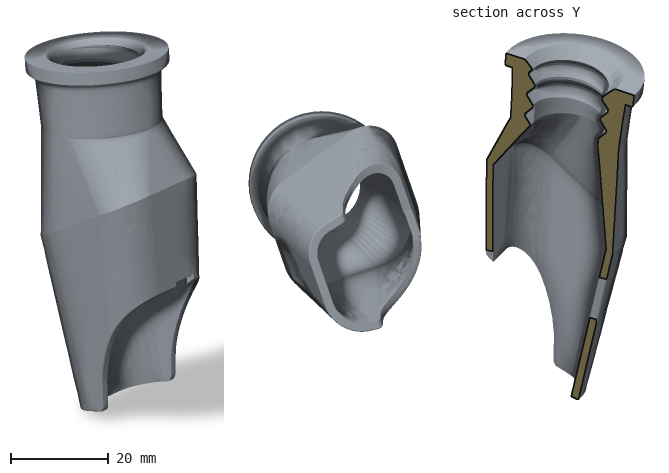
import cadquery as cq
import math

NECK_TILT = 5.0

FLANGE_RADIUS = 14.75
FLANGE_THICKNESS = 3.0
FLANGE_EDGE_CHAMFER = 0.3
NECK_TOP_RADIUS = 13.05
NECK_BASE_RADIUS = 12.4
NECK_BASE_DEPTH = 14.8

BORE_RADIUS = 7.65
MOUTH_RADIUS = 10.35
THREAD_PITCH = 4.95
THREAD_TURNS = 2.5
THREAD_START_DEPTH = 0.7
THREAD_ROOT_RADIUS = 9.2
THREAD_ROOT_WIDTH = 0.6
THREAD_FLANK_WIDTH = 1.85
THREAD_OVERLAP = 0.15

SHOULDER_NARROW = (-9.7, -39.8)
SHOULDER_WIDE = (19.1, -24.95)
FOOT_NARROW = (-1.9, -76.0)
FOOT_WIDE = (19.3, -71.3)
SHOULDER_NARROW_Y = (-9.4, 13.75)
SHOULDER_WIDE_Y = (-16.1, 16.85)
FOOT_NARROW_Y = (-6.4, 16.0)
FOOT_WIDE_Y = (-10.6, 18.55)
FRONT_CORNER_RADIUS = 7.0
BACK_NARROW_RADIUS = 8.5
BACK_WIDE_RADIUS = 10.4
WALL = 1.8

FLAT_SIDE_ARC = 8.0

RELIEF_TOP = (20.1, -46.4)
RELIEF_MIDDLE = (11.2, -56.8)
RELIEF_BOTTOM = (7.9, -67.4)
RELIEF_HEEL = (7.65, -72.8)
RELIEF_TOE = (6.3, -74.3)

WINDOW_Y = (1.15, 7.35)
WINDOW_Z = (-57.8, -46.1)
WINDOW_CORNER_RADIUS = 2.0

RIM_FILLET = 0.2
WINDOW_CHAMFER = 0.2

REACH = 92.7


def tilt_to_neck(shape):
    return shape.rotate((0, 0, 0), (0, 1, 0), -NECK_TILT)


def turned_about_neck(half_section):
    solid = cq.Workplane("XZ").polyline(half_section).close().revolve(360, (0, 0), (0, 1))
    return tilt_to_neck(solid)


def flange_and_neck():
    return turned_about_neck([
        (0, 0),
        (FLANGE_RADIUS, 0),
        (FLANGE_RADIUS, FLANGE_EDGE_CHAMFER - FLANGE_THICKNESS),
        (FLANGE_RADIUS - FLANGE_EDGE_CHAMFER, -FLANGE_THICKNESS),
        (NECK_TOP_RADIUS, -FLANGE_THICKNESS),
        (NECK_BASE_RADIUS, -NECK_BASE_DEPTH),
        (0, -NECK_BASE_DEPTH),
    ])


def bore():
    return turned_about_neck([
        (0, 0),
        (MOUTH_RADIUS, 0),
        (BORE_RADIUS, BORE_RADIUS - MOUTH_RADIUS),
        (BORE_RADIUS, -NECK_BASE_DEPTH),
        (0, -NECK_BASE_DEPTH),
    ])


def thread_groove():
    """Right-handed trapezoidal groove that starts at the -X side and winds down the bore."""
    inner_radius = BORE_RADIUS - THREAD_OVERLAP
    flank_slope = THREAD_FLANK_WIDTH / (THREAD_ROOT_RADIUS - BORE_RADIUS)
    half_root = THREAD_ROOT_WIDTH / 2
    half_mouth = half_root + flank_slope * (THREAD_ROOT_RADIUS - inner_radius)
    profile = [
        (inner_radius, -half_mouth),
        (THREAD_ROOT_RADIUS, -half_root),
        (THREAD_ROOT_RADIUS, half_root),
        (inner_radius, half_mouth),
    ]
    helix = cq.Wire.makeHelix(THREAD_PITCH, THREAD_PITCH * THREAD_TURNS, BORE_RADIUS)
    groove = cq.Workplane("XZ").polyline(profile).close().sweep(cq.Workplane(helix), isFrenet=True)
    groove = groove.rotate((0, 0, 0), (0, 1, 0), 180)
    return tilt_to_neck(groove.translate((0, 0, -THREAD_START_DEPTH)))


def end_outline(narrow, wide, narrow_y, wide_y, inset):
    """Four-cornered outline on a slanted end plane, drawn in by `inset`."""
    run = math.dist(narrow, wide)
    along = (wide[0] - narrow[0], 0, wide[1] - narrow[1])
    normal = (narrow[1] - wide[1], 0, wide[0] - narrow[0])
    plane = cq.Plane(origin=(narrow[0], 0, narrow[1]), xDir=along, normal=normal)
    corners = [(0, narrow_y[0]), (run, wide_y[0]), (run, wide_y[1]), (0, narrow_y[1])]
    outline = cq.Workplane(plane).polyline(corners).close()
    if inset:
        outline = outline.offset2D(-inset)
    return outline.val()


def long_corners(x_range, y_range):
    """Selects the long corner edges, whose centres lie between the shoulder and foot planes."""
    return cq.selectors.BoxSelector(
        (x_range[0], y_range[0], FOOT_WIDE[1]),
        (x_range[1], y_range[1], SHOULDER_NARROW[1]),
    )


def lower_body(inset):
    shoulder = end_outline(SHOULDER_NARROW, SHOULDER_WIDE, SHOULDER_NARROW_Y, SHOULDER_WIDE_Y, inset)
    foot = end_outline(FOOT_NARROW, FOOT_WIDE, FOOT_NARROW_Y, FOOT_WIDE_Y, inset)
    body = cq.Workplane(cq.Solid.makeLoft([foot, shoulder], True))
    corners = [
        ((-REACH, REACH), (-REACH, 0), FRONT_CORNER_RADIUS),
        ((-REACH, 0), (0, REACH), BACK_NARROW_RADIUS),
        ((0, REACH), (0, REACH), BACK_WIDE_RADIUS),
    ]
    for x_range, y_range, radius in corners:
        edges = body.edges("not |Y").edges(long_corners(x_range, y_range))
        body = edges.fillet(radius - inset)
    return body


def circle_arc(radius, start, end):
    points = []
    for angle in (start, (start + end) / 2, end):
        turn = math.radians(angle)
        points.append(cq.Vector(radius * math.cos(turn), radius * math.sin(turn), 0))
    return cq.Edge.makeThreePointArc(*points)


def neck_circle(radius):
    """Circle at the foot of the neck, with short arcs for the flat sides, long for the corners."""
    half_arc = FLAT_SIDE_ARC / 2
    arcs = []
    for side in (0, 90, 180, 270):
        arcs.append(circle_arc(radius, side - half_arc, side + half_arc))
        arcs.append(circle_arc(radius, side + half_arc, side + 90 - half_arc))
    circle = cq.Wire.assembleEdges(arcs)
    return tilt_to_neck(circle.translate(cq.Vector(0, 0, -NECK_BASE_DEPTH)))


def shoulder_transition(body, radius):
    """Loft from the rounded shoulder outline up to the circle at the foot of the neck."""
    shoulder = body.faces(">Z").val().outerWire()
    return cq.Workplane(cq.Solid.makeLoft([shoulder, neck_circle(radius)], True))


def cut_relief(body):
    """Cuts the foot open along the relief and rounds the outer rim of the cut."""
    relief = (
        cq.Workplane("XZ")
        .moveTo(*RELIEF_TOP)
        .threePointArc(RELIEF_MIDDLE, RELIEF_BOTTOM)
        .lineTo(*RELIEF_HEEL)
        .tangentArcPoint(RELIEF_TOE, relative=False)
        .lineTo(RELIEF_TOE[0], -REACH)
        .lineTo(REACH, -REACH)
        .lineTo(REACH, RELIEF_TOP[1])
        .close()
        .extrude(REACH, both=True)
    )
    low_and_wide = cq.selectors.BoxSelector(
        (FOOT_NARROW[0], -REACH, -REACH),
        (RELIEF_TOP[0], REACH, RELIEF_MIDDLE[1]),
    )
    rim = body.cut(relief).faces(low_and_wide)
    return rim.edges("not |Y").fillet(RIM_FILLET)


def cut_window(body):
    """Cuts the window along X and chamfers its edges on the narrow side."""
    width = WINDOW_Y[1] - WINDOW_Y[0]
    height = WINDOW_Z[1] - WINDOW_Z[0]
    window = (
        cq.Workplane("YZ")
        .center(sum(WINDOW_Y) / 2, sum(WINDOW_Z) / 2)
        .rect(width, height)
        .extrude(REACH, both=True)
        .edges("|X and <Z")
        .fillet(WINDOW_CORNER_RADIUS)
    )
    mouth = cq.selectors.BoxSelector(
        (SHOULDER_NARROW[0], WINDOW_Y[0] - WINDOW_CHAMFER, WINDOW_Z[0] - WINDOW_CHAMFER),
        (FOOT_NARROW[0] - WALL, WINDOW_Y[1] + WINDOW_CHAMFER, WINDOW_Z[1] + WINDOW_CHAMFER),
    )
    return body.cut(window).edges("not |X").edges(mouth).chamfer(WINDOW_CHAMFER)


outer_body = lower_body(0)
cavity = lower_body(WALL)

foot_body = cut_window(cut_relief(outer_body))
outside = foot_body.union(shoulder_transition(outer_body, NECK_BASE_RADIUS)).union(flange_and_neck())
hollow = outside.cut(cavity).cut(shoulder_transition(cavity, BORE_RADIUS)).cut(bore())
result = hollow.cut(thread_groove())